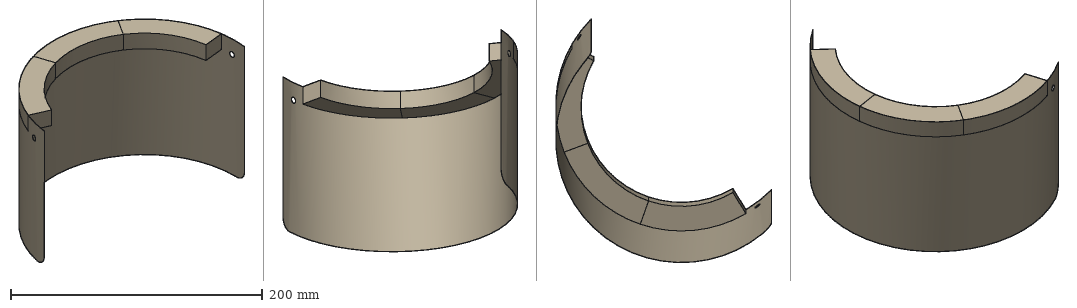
import cadquery as cq

outer_diameter = 200.3
outer_radius = outer_diameter / 2
shield_height = 130.0
shield_thickness = 0.15
shield_inner_radius = outer_radius - shield_thickness
corner_radius = 10.0

hole_diameter = 5.0
hole_edge_offset = 15.0
hole_top_offset = 15.0

block_count = 3
block_angle = 50.0
block_height = 15.0
block_inner_radius = 80.0


def ring_sector(inner_radius, outer_radius, height, sweep):
    """Ring sector standing on Z = 0, centred on the -X direction."""
    profile = cq.Workplane("XZ").moveTo(-outer_radius, 0).lineTo(-inner_radius, 0)
    profile = profile.lineTo(-inner_radius, height).lineTo(-outer_radius, height).close()
    sector = profile.revolve(sweep, (0, 0, 0), (0, 1, 0))
    return sector.rotate((0, 0, 0), (0, 0, 1), -sweep / 2)


def make_shield():
    """Half-cylinder with rounded lower corners and one hole by each free edge."""
    half_cylinder = ring_sector(shield_inner_radius, outer_radius, shield_height, 180)

    outline = (
        cq.Workplane("XZ")
        .moveTo(-outer_radius, 0)
        .lineTo(-corner_radius, 0)
        .radiusArc((0, corner_radius), -corner_radius)
        .lineTo(0, shield_height)
        .lineTo(-outer_radius, shield_height)
        .close()
        .extrude(outer_radius, both=True)
    )
    holes = (
        cq.Workplane("XZ")
        .center(-hole_edge_offset, shield_height - hole_top_offset)
        .circle(hole_diameter / 2)
        .extrude(outer_radius, both=True)
    )
    return half_cylinder.intersect(outline).cut(holes)


def make_block(turn):
    """Curved block flush with the shield's top, turned about Z from the -X direction."""
    block = ring_sector(block_inner_radius, shield_inner_radius, block_height, block_angle)
    block = block.translate((0, 0, shield_height - block_height))
    return block.rotate((0, 0, 0), (0, 0, 1), turn)


shield = make_shield()
blocks = []
for index in range(block_count):
    turn = (index - (block_count - 1) / 2) * block_angle
    blocks.append(make_block(turn).val())

result = cq.Compound.makeCompound([shield.val(), *blocks])